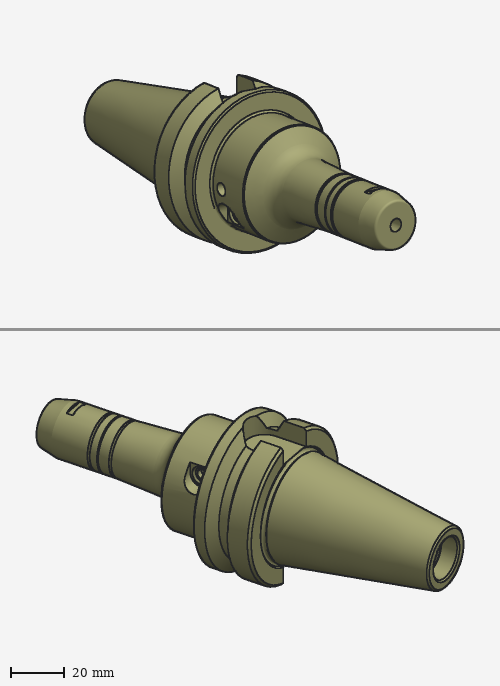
import cadquery as cq
import math

length = 175.4

taper_length = 65.5
gauge_radius = 22.3
taper_rate = 7 / 48
rear_radius = gauge_radius - taper_length * taper_rate
rear_chamfer = 0.7

flange_start = 67.0
flange_end = 92.3
flange_radius = 63.0 / 2
flange_rear_chamfer = 1.0
flange_front_chamfer = 0.7
groove_center = 81.9
groove_floor_width = 4.0
groove_floor_radius = 26.3
groove_flank_angle = math.radians(30)
groove_flank = (flange_radius - groove_floor_radius) * math.tan(groove_flank_angle)

undercut_radius = 21.5
undercut_fillet = 1.0
undercut_depth = 0.5
undercut_outer_radius = 23.9

slot_width = 16.1
slot_floor = 22.5
slot_end = 88.4

body_radius = 23.0
body_end = 111.5
body_base_fillet = 0.9
body_edge_chamfer = 0.4
shoulder_angle = math.radians(60)
neck_fillet = 7.9
neck_end = 140.8
neck_angle = math.radians(3)
nose_radius = 23.0 / 2
nose_cone_start = 167.3
nose_cone_angle = math.radians(13)
nose_edge_fillet = 1.0

ring_depth = 0.1
rings = ((neck_end, 1.0), (146.6, 0.5), (150.3, 1.0))

flat_start = 162.2
flat_width = 2.6
flat_height = 10.5

bore_entry_radius = 18.5 / 2
bore_entry_chamfer = 0.7
pilot_radius = 17.0 / 2
pilot_depth = 7.5
thread_relief_radius = 16.0 / 2
thread_relief_width = 0.9
thread_radius = 14.2 / 2
thread_end = 35.0
drill_angle = math.radians(59)
coolant_radius = 5.0 / 2

pocket_x = 98.0
pocket_z = -12.0
pocket_width = 10.0
pocket_floor = 16.1
screw_recess_diameter = 8.0
screw_diameter = 6.1
socket_diameter = 4.5
screw_recess_depth = 0.9
socket_depth = 3.5

side_hole_diameter = 5.0
side_hole_z = -1.0
side_hole_floor = 15.8


def turned_body():
    """Revolve the outer silhouette about the X axis."""
    cone_slope = math.tan(shoulder_angle)
    neck_slope = math.tan(neck_angle)
    shoulder_start = body_end + body_edge_chamfer / cone_slope

    def neck_radius(x):
        return nose_radius + (neck_end - x) * neck_slope

    def shoulder_radius(x):
        return body_radius - (x - body_end) * cone_slope

    shoulder_offset = neck_fillet / math.cos(shoulder_angle)
    neck_offset = neck_fillet / math.cos(neck_angle)
    gap = shoulder_radius(body_end) + shoulder_offset - neck_radius(body_end) - neck_offset
    center_x = body_end + gap / (cone_slope - neck_slope)
    center_r = neck_radius(center_x) + neck_offset

    def fillet_point(angle):
        return (center_x - neck_fillet * math.sin(angle), center_r - neck_fillet * math.cos(angle))

    undercut_start = taper_length + gauge_radius - undercut_radius
    undercut_floor = flange_start + undercut_depth
    groove_rear = groove_center - groove_floor_width / 2
    groove_front = groove_center + groove_floor_width / 2
    nose_end_radius = nose_radius - (length - nose_cone_start) * math.tan(nose_cone_angle)
    return (
        cq.Workplane("XY")
        .moveTo(0, 0)
        .lineTo(0, rear_radius - rear_chamfer)
        .lineTo(rear_chamfer, rear_radius + rear_chamfer * taper_rate)
        .lineTo(taper_length, gauge_radius)
        .lineTo(undercut_start, undercut_radius)
        .lineTo(undercut_floor - undercut_fillet, undercut_radius)
        .radiusArc((undercut_floor, undercut_radius + undercut_fillet), -undercut_fillet)
        .lineTo(undercut_floor, undercut_outer_radius - undercut_depth)
        .lineTo(flange_start, undercut_outer_radius)
        .lineTo(flange_start, flange_radius - flange_rear_chamfer)
        .lineTo(flange_start + flange_rear_chamfer, flange_radius)
        .lineTo(groove_rear - groove_flank, flange_radius)
        .lineTo(groove_rear, groove_floor_radius)
        .lineTo(groove_front, groove_floor_radius)
        .lineTo(groove_front + groove_flank, flange_radius)
        .lineTo(flange_end - flange_front_chamfer, flange_radius)
        .lineTo(flange_end, flange_radius - flange_front_chamfer)
        .lineTo(flange_end, body_radius + body_base_fillet)
        .radiusArc((flange_end + body_base_fillet, body_radius), -body_base_fillet)
        .lineTo(body_end - body_edge_chamfer, body_radius)
        .lineTo(shoulder_start, body_radius - body_edge_chamfer)
        .lineTo(*fillet_point(shoulder_angle))
        .threePointArc(fillet_point((shoulder_angle + neck_angle) / 2), fillet_point(neck_angle))
        .lineTo(neck_end, nose_radius)
        .lineTo(nose_cone_start, nose_radius)
        .lineTo(length, nose_end_radius)
        .lineTo(length, 0)
        .close()
        .revolve(360, (0, 0, 0), (1, 0, 0))
        .faces(">X")
        .edges()
        .fillet(nose_edge_fillet)
    )


def axial_bore():
    """Stepped rear bore narrowing to the coolant hole that passes through the part."""
    thread_start = pilot_depth + thread_relief_width
    cone_length = (thread_radius - coolant_radius) / math.tan(drill_angle)
    return (
        cq.Workplane("XY")
        .moveTo(0, 0)
        .lineTo(0, bore_entry_radius)
        .lineTo(bore_entry_chamfer, pilot_radius)
        .lineTo(pilot_depth, pilot_radius)
        .lineTo(pilot_depth, thread_relief_radius)
        .lineTo(thread_start, thread_relief_radius)
        .lineTo(thread_start + thread_relief_radius - thread_radius, thread_radius)
        .lineTo(thread_end, thread_radius)
        .lineTo(thread_end + cone_length, coolant_radius)
        .lineTo(length, coolant_radius)
        .lineTo(length, 0)
        .close()
        .revolve(360, (0, 0, 0), (1, 0, 0))
    )


def half_turn(shape):
    """Copy of a shape turned to the opposite side of the spindle axis."""
    return shape.rotate((0, 0, 0), (1, 0, 0), 180)


def drive_slot():
    """Round-ended slot in the +Z side of the flange, open toward the taper."""
    end_center = slot_end - slot_width / 2
    return (
        cq.Workplane("XY", origin=(0, 0, slot_floor))
        .moveTo(flange_start, -slot_width / 2)
        .lineTo(end_center, -slot_width / 2)
        .threePointArc((slot_end, 0), (end_center, slot_width / 2))
        .lineTo(flange_start, slot_width / 2)
        .close()
        .extrude(flange_radius)
    )


def nose_flat():
    """Straight shallow cut across the +Z side of the nose."""
    return (
        cq.Workplane("XY", origin=(flat_start + flat_width / 2, 0, flat_height))
        .rect(flat_width, 2 * nose_radius)
        .extrude(nose_radius)
    )


def marking_ring(start, width):
    """Shallow groove around the nose."""
    return (
        cq.Workplane("YZ", origin=(start, 0, 0))
        .circle(nose_radius + ring_depth)
        .circle(nose_radius - ring_depth)
        .extrude(width)
    )


def screw_pocket():
    """U-shaped seat on the -Y side, open toward -Z, with the screw recess in its floor."""
    radius = pocket_width / 2

    def side_plane(floor):
        return cq.Workplane("XZ", origin=(pocket_x, -floor, pocket_z))

    seat = (
        side_plane(pocket_floor)
        .moveTo(-radius, 0)
        .threePointArc((0, radius), (radius, 0))
        .lineTo(radius, -body_radius)
        .lineTo(-radius, -body_radius)
        .close()
        .extrude(body_radius - pocket_floor)
    )
    recess = (
        side_plane(pocket_floor)
        .circle(screw_recess_diameter / 2)
        .workplane(offset=-screw_recess_depth)
        .circle(screw_diameter / 2)
        .loft()
    )
    socket_radius = socket_diameter / 2
    socket = side_plane(pocket_floor - socket_depth).circle(socket_radius).extrude(socket_depth)
    tip_length = socket_radius / math.tan(drill_angle)
    tip = cq.Solid.makeCone(
        socket_radius,
        0,
        tip_length,
        cq.Vector(pocket_x, socket_depth - pocket_floor, pocket_z),
        cq.Vector(0, 1, 0),
    )
    return seat.union(recess).union(socket).union(cq.Workplane(tip))


def side_hole():
    """Blind round hole beside the -Y screw pocket."""
    return (
        cq.Workplane("XZ", origin=(pocket_x, -side_hole_floor, side_hole_z))
        .circle(side_hole_diameter / 2)
        .extrude(body_radius)
    )


result = turned_body().cut(axial_bore())
for cutter in (drive_slot(), nose_flat(), screw_pocket()):
    result = result.cut(cutter).cut(half_turn(cutter))
for start, width in rings:
    result = result.cut(marking_ring(start, width))
result = result.cut(side_hole())